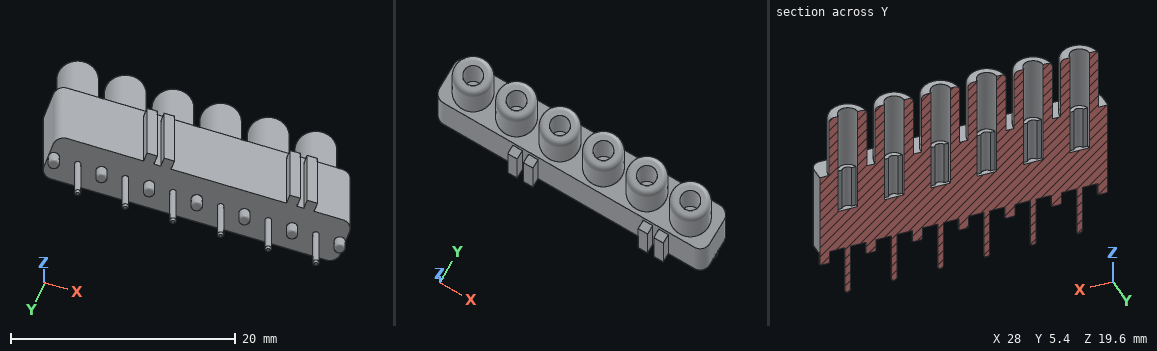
import cadquery as cq

body_length = 28.0
body_depth = 4.5
body_height = 8.45
body_corner_radius = 1.0

peg_diameter = 1.0
peg_length = 1.25
peg_end_radius = 0.2

contact_count = 6
peg_count = contact_count + 1
pitch = (body_length - peg_diameter) / contact_count

tower_diameter = 3.75
tower_height = 6.25
tower_rim_radius = 0.5

mouth_diameter = 1.85
mouth_depth = tower_height
contact_bore_diameter = 1.05
contact_slot_width = 0.5
contact_depth = body_height / 2

pin_diameter = 0.6
pin_length = 4.95
pin_chamfer_height = 0.22
pin_chamfer_inset = 0.15

rib_width = 0.98
rib_gap = 0.65
rib_projection = 0.9
rib_top_setback = 0.92
rib_pair_centers = (-pitch, 2 * pitch)


def row(count):
    """Points spaced one pitch apart along X, centred on the origin."""
    return [((i - (count - 1) / 2) * pitch, 0) for i in range(count)]


def hanging_post(diameter, length):
    """Plain round post hanging from Z = 0."""
    return cq.Workplane("XY").circle(diameter / 2).extrude(-length)


def place(shape, points):
    """Compound of copies of a shape moved to each point."""
    copies = [shape.val().moved(cq.Location(cq.Vector(x, y, 0))) for x, y in points]
    return cq.Workplane(obj=cq.Compound.makeCompound(copies))


def make_body():
    block = cq.Workplane("XY").box(body_length, body_depth, body_height, centered=(True, True, False))
    return block.edges("|Z").fillet(body_corner_radius)


def make_tower():
    tower = cq.Workplane("XY").workplane(offset=body_height).circle(tower_diameter / 2).extrude(tower_height)
    return tower.faces(">Z").edges().fillet(tower_rim_radius)


def make_socket_cut():
    """Mouth of the socket plus the bore and cross slot of the contact below it."""
    mouth_floor = cq.Workplane("XY").workplane(offset=body_height + tower_height - mouth_depth)
    mouth = mouth_floor.circle(mouth_diameter / 2).extrude(mouth_depth)
    bore = mouth_floor.circle(contact_bore_diameter / 2).extrude(-contact_depth)
    slot = mouth_floor.rect(mouth_diameter, contact_slot_width).extrude(-contact_depth)
    slot = slot.intersect(mouth_floor.circle(mouth_diameter / 2).extrude(-contact_depth))
    return mouth.union(bore).union(slot)


def make_rib(center_x):
    """Vertical rib on the -Y face, reaching down to the underside of the block."""
    rib_height = body_height - rib_top_setback
    rib = cq.Workplane("XY").box(rib_width, rib_projection, rib_height, centered=(True, False, False))
    return rib.translate((center_x, -body_depth / 2 - rib_projection, 0))


contacts = row(contact_count)
peg = hanging_post(peg_diameter, peg_length).faces("<Z").edges().fillet(peg_end_radius)
pin = hanging_post(pin_diameter, pin_length).faces("<Z").chamfer(pin_chamfer_height, pin_chamfer_inset)

result = make_body()
result = result.union(place(make_tower(), contacts))
result = result.cut(place(make_socket_cut(), contacts))
result = result.union(place(peg, row(peg_count)))
result = result.union(place(pin, contacts))

rib_offset = (rib_width + rib_gap) / 2
for pair_center in rib_pair_centers:
    for side in (-1, 1):
        result = result.union(make_rib(pair_center + side * rib_offset))